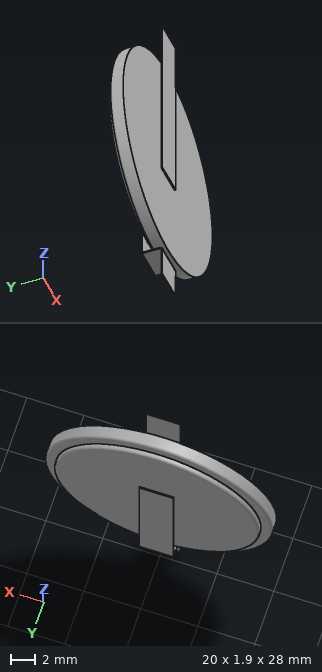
import cadquery as cq

CAN_DIAMETER = 20.0
CAP_DIAMETER = 18.0
CAN_THICKNESS = 1.2
CAP_THICKNESS = 0.5
RIM_RADIUS = 0.25

OVERALL_HEIGHT = 28
TAB_WIDTH = 3.0
TAB_THICKNESS = 0.1
TAB_OVERLAP = 2.0
SHELF_TOP = -11.0
BEND_INNER_RADIUS = 0.125

bend_outer_radius = BEND_INNER_RADIUS + TAB_THICKNESS
cell_thickness = CAN_THICKNESS + CAP_THICKNESS
can_face = -cell_thickness / 2
cap_face = cell_thickness / 2
can_shoulder = can_face + CAN_THICKNESS
tab_top = OVERALL_HEIGHT / 2
tab_bottom = -OVERALL_HEIGHT / 2


def disc(diameter, start_y, thickness):
    """Disc running toward +Y from start_y, with its +Y rim rounded."""
    blank = (
        cq.Workplane("XZ", origin=(0, start_y, 0))
        .circle(diameter / 2)
        .extrude(-thickness)
    )
    return blank.faces(">Y").edges().fillet(RIM_RADIUS)


def make_cell():
    """Wide can with the narrower cap on its +Y side."""
    can = disc(CAN_DIAMETER, can_face, CAN_THICKNESS)
    cap = disc(CAP_DIAMETER, can_shoulder, CAP_THICKNESS)
    return can.union(cap)


def make_straight_tab():
    """Flat strip on the can face, rising past the top of the cell."""
    return cq.Workplane("XY").box(
        TAB_WIDTH, TAB_THICKNESS, tab_top + TAB_OVERLAP, centered=(True, False, False)
    ).translate((0, can_face - TAB_THICKNESS, -TAB_OVERLAP))


def make_bent_tab():
    """Strip on the cap face, stepped under the cell to the plane of the straight tab."""
    back = cap_face + TAB_THICKNESS
    front = can_face - TAB_THICKNESS
    shelf_bottom = SHELF_TOP - TAB_THICKNESS
    strip = (
        cq.Workplane("YZ")
        .moveTo(cap_face, TAB_OVERLAP)
        .lineTo(cap_face, SHELF_TOP)
        .lineTo(front, SHELF_TOP)
        .lineTo(front, tab_bottom)
        .lineTo(can_face, tab_bottom)
        .lineTo(can_face, shelf_bottom)
        .lineTo(back, shelf_bottom)
        .lineTo(back, TAB_OVERLAP)
        .close()
        .extrude(TAB_WIDTH / 2, both=True)
    )
    inner_corners = [(cap_face, SHELF_TOP), (can_face, shelf_bottom)]
    outer_corners = [(front, SHELF_TOP), (back, shelf_bottom)]
    strip = round_corners(strip, inner_corners, BEND_INNER_RADIUS)
    return round_corners(strip, outer_corners, bend_outer_radius)


def round_corners(strip, corners, radius):
    """Fillet the edges along X that pass through the given (y, z) corners."""
    for y, z in corners:
        corner_edge = cq.selectors.NearestToPointSelector((0, y, z))
        strip = strip.edges("|X").edges(corner_edge).fillet(radius)
    return strip


cell = make_cell()
straight_tab = make_straight_tab()
bent_tab = make_bent_tab()

result = cq.Compound.makeCompound([cell.val(), straight_tab.val(), bent_tab.val()])